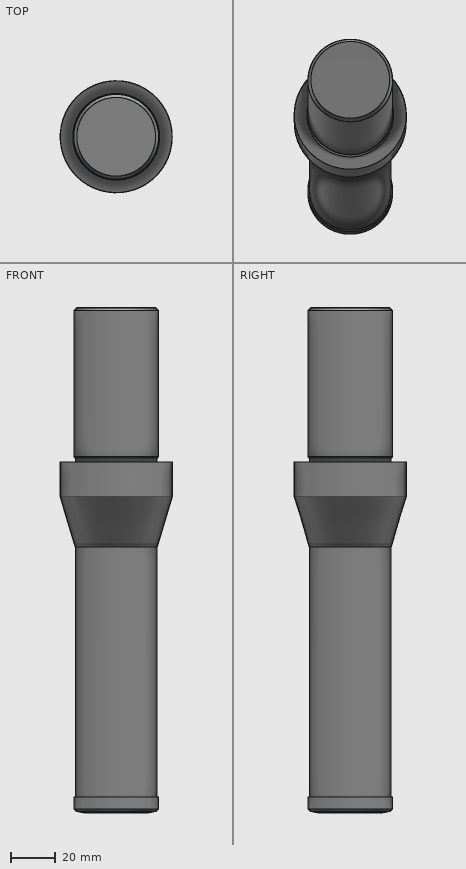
import cadquery as cq

total_height = 229.0

shank_radius = 19.2
shank_chamfer = 1.4

undercut_radius = 18.5
undercut_top_z = 160.8
undercut_taper = shank_radius - undercut_radius
collar_relief_radius = 19.7
collar_relief_depth = 0.5

collar_radius = 25.5
collar_top_z = 159.2
collar_bottom_z = 143.5
cone_bottom_radius = 19.0
cone_bottom_z = 122.0

neck_radius = 18.5
neck_top_z = 120.5

cap_radius = 19.2
cap_height = 7.0
cap_edge_chamfer = 1.1
cap_face_radius = 14.7
cap_face_drop = 0.7


def revolve_profile(points):
    """Revolve a closed (radius, height) profile fully around the Z axis."""
    return cq.Workplane("XZ").polyline(points).close().revolve(360, (0, 0, 0), (0, 1, 0))


def make_holder():
    """Shank, undercut, collar, cone and neck turned as one body."""
    relief_bottom_z = collar_top_z - collar_relief_depth
    return revolve_profile([
        (0, cap_height),
        (neck_radius, cap_height),
        (neck_radius, neck_top_z),
        (cone_bottom_radius, cone_bottom_z),
        (collar_radius, collar_bottom_z),
        (collar_radius, collar_top_z),
        (collar_relief_radius, collar_top_z),
        (undercut_radius, relief_bottom_z),
        (undercut_radius, undercut_top_z),
        (shank_radius, undercut_top_z + undercut_taper),
        (shank_radius, total_height - shank_chamfer),
        (shank_radius - shank_chamfer, total_height),
        (0, total_height),
    ])


def make_end_cap():
    """Slightly wider disc with a chamfered rim and a shallow raised end face."""
    return revolve_profile([
        (0, 0),
        (cap_face_radius, 0),
        (cap_radius - cap_edge_chamfer, cap_face_drop),
        (cap_radius, cap_face_drop + cap_edge_chamfer),
        (cap_radius, cap_height),
        (0, cap_height),
    ])


holder = make_holder()
end_cap = make_end_cap()

result = cq.Compound.makeCompound([holder.val(), end_cap.val()])